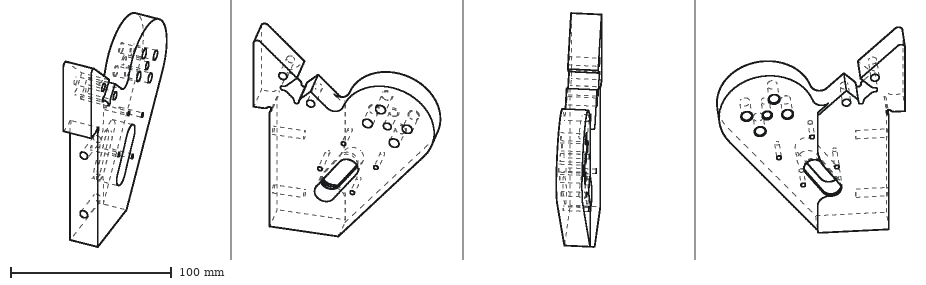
import cadquery as cq
import math


overall_height = 139.8
thickness = 19.0
arm_face_x = 3.0

block_front_y = 10.2
block_back_y = 54.4
head_bottom_z = 89.0
head_tip_radius = 2.7

arm_center = (85.8, 89.0)
arm_radius = 30.0
neck_angle = 161.0
neck_radius = 6.3

notch_upper_corner_y = 28.0
notch_width = 12.3
notch_depth = 12.9
pin_hole_diameter = 5.2
pin_hole_spacing = 25.2

relief_radius = 1.5
relief_blend_radius = 3.2

hub_hole_diameter = 5.0
hub_hole_chamfer = 0.7
bolt_hole_diameter = 6.3
bolt_hole_chamfer = 0.49
bolt_circle_radius = 12.7
bolt_angles = (0, 110, 180, 290)

slot_angle = 55.0
slot_lower_center = (45.7, 31.7)
slot_length = 19.2
slot_radius = 6.2
rear_slot_radius = 6.6
rear_slot_x = 5.2

small_hole_diameter = 2.8
small_hole_offset = 25.9
small_hole_length = 26.4
small_hole_width = 25.3

step_upper_radius = 20.0
step_wall_radius = 6.3
step_lower_radius = 7.3
step_edge_fillet = 1.0

mount_hole_diameter = 5.2
mount_hole_depth = 20.0
mount_hole_heights = (22.2, 66.7)

slope_sum = overall_height + head_tip_radius * math.sqrt(2)


def polar(origin, distance, degrees):
    angle = math.radians(degrees)
    return (origin[0] + distance * math.cos(angle), origin[1] + distance * math.sin(angle))


def profile_plane(x=0.0):
    """Sketch plane at the given X with local axes Y and Z, extruding toward +X."""
    return cq.Workplane("YZ", origin=(x, 0, 0))


def through_holes(centers, diameter):
    return profile_plane().pushPoints(centers).circle(diameter / 2).extrude(thickness)


def countersunk_holes(centers, diameter, chamfer):
    """Through holes whose rim is chamfered at 45 degrees on the arm face."""
    rims = (
        profile_plane(arm_face_x)
        .pushPoints(centers)
        .circle(diameter / 2 + chamfer)
        .extrude(chamfer, taper=45)
    )
    return through_holes(centers, diameter).union(rims)


def corner_relief(corner, first_wall_angle):
    """Round relief at an inside corner, blended by arcs into its two walls.

    The second wall stands 90 degrees counterclockwise from the first.
    """
    reach = math.sqrt(relief_radius**2 + 2 * relief_radius * relief_blend_radius)
    lean = math.degrees(math.asin(relief_blend_radius / (relief_radius + relief_blend_radius)))
    first_end = polar(corner, reach, first_wall_angle)
    second_end = polar(corner, reach, first_wall_angle + 90)
    first_blend_center = polar(first_end, relief_blend_radius, first_wall_angle - 90)
    second_blend_center = polar(second_end, relief_blend_radius, first_wall_angle + 180)
    first_middle_angle = first_wall_angle + 135 - lean / 2
    second_middle_angle = first_wall_angle - 45 + lean / 2
    return (
        profile_plane()
        .moveTo(*first_end)
        .threePointArc(
            polar(first_blend_center, relief_blend_radius, first_middle_angle),
            polar(corner, relief_radius, first_wall_angle - lean),
        )
        .threePointArc(
            polar(corner, relief_radius, first_wall_angle - 135),
            polar(corner, relief_radius, first_wall_angle + 90 + lean),
        )
        .threePointArc(
            polar(second_blend_center, relief_blend_radius, second_middle_angle),
            second_end,
        )
        .close()
        .extrude(thickness)
    )


def make_block():
    tip_center = (head_tip_radius, overall_height - head_tip_radius)
    return (
        profile_plane()
        .moveTo(block_front_y, 0)
        .lineTo(block_back_y, 0)
        .lineTo(block_back_y, slope_sum - block_back_y)
        .lineTo(*polar(tip_center, head_tip_radius, 45))
        .threePointArc(polar(tip_center, head_tip_radius, 112.5), (0, tip_center[1]))
        .lineTo(0, head_bottom_z)
        .lineTo(block_front_y, head_bottom_z)
        .close()
        .extrude(thickness)
    )


def make_step_cut():
    front_side = slot_angle + 90
    slot_side_end = polar(slot_lower_center, step_wall_radius, front_side)
    side_run = (block_back_y - slot_side_end[0]) / math.cos(math.radians(slot_angle))
    upper_corner = polar(slot_side_end, side_run, slot_angle)
    upper_tangent = step_upper_radius * math.tan(math.radians((90 - slot_angle) / 2))
    upper_start = (block_back_y, upper_corner[1] + upper_tangent)
    upper_center = (block_back_y - step_upper_radius, upper_start[1])
    upper_end = polar(upper_corner, upper_tangent, slot_angle + 180)

    lower_center_y = block_back_y - step_lower_radius
    center_distance = step_wall_radius + step_lower_radius
    joint_lean = math.degrees(math.asin((lower_center_y - slot_lower_center[0]) / center_distance))
    joint_angle = 270 + joint_lean
    lower_center = polar(slot_lower_center, center_distance, joint_angle)
    return (
        profile_plane()
        .moveTo(*upper_start)
        .threePointArc(
            polar(upper_center, step_upper_radius, (slot_angle - 90) / 2),
            upper_end,
        )
        .lineTo(*slot_side_end)
        .threePointArc(
            polar(slot_lower_center, step_wall_radius, (front_side + joint_angle) / 2),
            polar(slot_lower_center, step_wall_radius, joint_angle),
        )
        .threePointArc(
            polar(lower_center, step_lower_radius, (90 + joint_lean) / 2),
            (block_back_y, lower_center[1]),
        )
        .close()
        .extrude(arm_face_x)
    )


def make_arm():
    foot = (block_back_y, 0)
    foot_angle = math.degrees(math.atan2(foot[1] - arm_center[1], foot[0] - arm_center[0]))
    tangent_spread = math.degrees(math.acos(arm_radius / math.dist(arm_center, foot)))
    tangent_angle = foot_angle + tangent_spread

    neck_center = polar(arm_center, arm_radius + neck_radius, neck_angle)
    height_above_slope = (sum(neck_center) - slope_sum) / math.sqrt(2)
    neck_end_angle = 225 + math.degrees(math.acos(height_above_slope / neck_radius))
    return (
        profile_plane(arm_face_x)
        .moveTo(*foot)
        .lineTo(*polar(arm_center, arm_radius, tangent_angle))
        .threePointArc(
            polar(arm_center, arm_radius, (tangent_angle + neck_angle) / 2),
            polar(arm_center, arm_radius, neck_angle),
        )
        .threePointArc(
            polar(neck_center, neck_radius, (neck_angle + 180 + neck_end_angle) / 2),
            polar(neck_center, neck_radius, neck_end_angle),
        )
        .close()
        .extrude(thickness - arm_face_x)
    )


upper_mouth = (notch_upper_corner_y, slope_sum - notch_upper_corner_y)


def make_notch():
    lower_mouth = polar(upper_mouth, notch_width, -45)
    upper_inner = polar(upper_mouth, notch_depth, 225)
    lower_inner = polar(lower_mouth, notch_depth, 225)
    square = (
        profile_plane()
        .polyline([upper_mouth, lower_mouth, lower_inner, upper_inner])
        .close()
        .extrude(thickness)
    )
    return square.union(corner_relief(upper_inner, -45)).union(corner_relief(lower_inner, 45))


def make_pin_holes():
    notch_center = polar(polar(upper_mouth, notch_width / 2, -45), notch_depth / 2, 225)
    centers = [polar(notch_center, pin_hole_spacing / 2, angle) for angle in (-45, 135)]
    return through_holes(centers, pin_hole_diameter)


def make_hub_holes():
    bolt_centers = [polar(arm_center, bolt_circle_radius, angle) for angle in bolt_angles]
    bolt_holes = countersunk_holes(bolt_centers, bolt_hole_diameter, bolt_hole_chamfer)
    return bolt_holes.union(countersunk_holes([arm_center], hub_hole_diameter, hub_hole_chamfer))


def slot_body(start, end, radius, x):
    """Slot between two distances from the lower end axis, running from x to the rear face."""
    middle = polar(slot_lower_center, (start + end) / 2, slot_angle)
    overall_length = end - start + 2 * radius
    sketch = profile_plane(x).center(*middle).slot2D(overall_length, 2 * radius, slot_angle)
    return sketch.extrude(thickness - x)


def make_slot():
    front_slot = slot_body(0, slot_length, slot_radius, arm_face_x)
    rear_slot = slot_body(0, small_hole_offset, rear_slot_radius, rear_slot_x)
    return front_slot.union(rear_slot)


def make_small_holes():
    middle = polar(slot_lower_center, small_hole_offset, slot_angle)
    centers = []
    for along in (-small_hole_length / 2, small_hole_length / 2):
        row_middle = polar(middle, along, slot_angle)
        for across in (-small_hole_width / 2, small_hole_width / 2):
            centers.append(polar(row_middle, across, slot_angle + 90))
    return through_holes(centers, small_hole_diameter)


def make_mount_holes():
    front = cq.Workplane("XZ", origin=(thickness / 2, block_front_y, 0))
    centers = [(0, height) for height in mount_hole_heights]
    return front.pushPoints(centers).circle(mount_hole_diameter / 2).extrude(-mount_hole_depth)


block = make_block().cut(make_step_cut())
lower_rim = block.faces("<X").edges("|Z").edges(">Y").edges("<Z")
block = lower_rim.fillet(step_edge_fillet)

result = (
    block.union(make_arm())
    .cut(make_notch())
    .cut(corner_relief((block_front_y, head_bottom_z), 180))
    .cut(make_pin_holes())
    .cut(make_hub_holes())
    .cut(make_slot())
    .cut(make_small_holes())
    .cut(make_mount_holes())
)